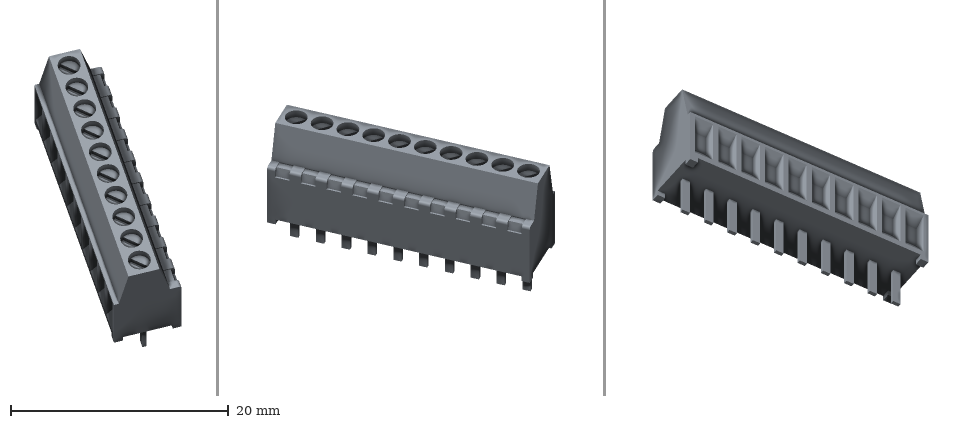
import cadquery as cq

housing_length = 25.85
housing_depth = 6.5
total_height = 13.4

pole_count = 10
pole_span = 22.85
pole_pitch = pole_span / (pole_count - 1)
pole_positions = [-pole_span / 2 + i * pole_pitch for i in range(pole_count)]

foot_bottom_z = 3.41
foot_height = 0.55
foot_length = 0.83
foot_depth = 0.85
floor_z = foot_bottom_z + foot_height
front_shelf_z = 9.41
front_shelf_depth = 0.47
rear_shelf_z = 9.8
rear_shelf_depth = 1.1
rear_edge_radius = 0.3
tower_front_y = 1.4
tower_rear_y = 4.37

opening_width = 2.0
opening_bottom_z = 4.55
opening_top_z = 9.1
throat_width = 1.45
throat_bottom_z = 5.75
throat_top_z = 7.9
opening_depth = 0.8

screw_y = (tower_front_y + tower_rear_y) / 2
screw_diameter = 2.1
screw_well_depth = 0.78
screw_slot_width = 0.5
screw_slot_depth = 0.5
screw_slot_angle = 45

notch_width = 1.42
notch_floor_drop = 0.1
notch_floor_end = 0.41
notch_ledge_depth = 0.18
notch_ledge_drop = 0.98

pin_width = 0.8
pin_thickness = 0.4
pin_y = housing_depth / 2


def extrude_profile(points, length, centre_x):
    """Extrude a (Y, Z) outline along X, centred on centre_x."""
    outline = cq.Workplane("YZ").polyline(points).close()
    return outline.extrude(length / 2, both=True).translate((centre_x, 0, 0))


def make_housing():
    profile = [
        (0, foot_bottom_z),
        (housing_depth, foot_bottom_z),
        (housing_depth, rear_shelf_z),
        (housing_depth - rear_shelf_depth, rear_shelf_z),
        (tower_rear_y, total_height),
        (tower_front_y, total_height),
        (front_shelf_depth, front_shelf_z),
        (0, front_shelf_z),
    ]
    housing = extrude_profile(profile, housing_length, 0)
    rear_edge = cq.selectors.NearestToPointSelector((0, housing_depth, rear_shelf_z))
    return housing.edges(rear_edge).fillet(rear_edge_radius)


def make_foot_clearance():
    """Cross-shaped space under the housing that leaves a foot at each corner."""
    centre = (0, housing_depth / 2, foot_bottom_z + foot_height / 2)
    along_x = cq.Workplane().box(housing_length, housing_depth - 2 * foot_depth, foot_height)
    along_y = cq.Workplane().box(housing_length - 2 * foot_length, housing_depth, foot_height)
    return along_x.union(along_y).translate(centre)


def make_wire_opening(x):
    opening_z = (opening_bottom_z + opening_top_z) / 2
    throat_z = (throat_bottom_z + throat_top_z) / 2
    return (
        cq.Workplane("XZ")
        .center(x, opening_z)
        .rect(opening_width, opening_top_z - opening_bottom_z)
        .workplane(offset=-opening_depth)
        .center(0, throat_z - opening_z)
        .rect(throat_width, throat_top_z - throat_bottom_z)
        .loft(ruled=True)
    )


def make_screw_well(x):
    well_radius = screw_diameter / 2
    full_depth = screw_well_depth + screw_slot_depth
    well = cq.Workplane().circle(well_radius).extrude(-screw_well_depth)
    slot = (
        cq.Workplane()
        .rect(2 * screw_diameter, screw_slot_width)
        .extrude(-full_depth)
        .rotate((0, 0, 0), (0, 0, 1), screw_slot_angle)
        .intersect(cq.Workplane().circle(well_radius).extrude(-full_depth))
    )
    return well.union(slot).translate((x, screw_y, total_height))


def make_rear_notch(x):
    floor = rear_shelf_z - notch_floor_drop
    ledge = rear_shelf_z - notch_ledge_drop
    front_y = housing_depth - rear_shelf_depth
    profile = [
        (front_y, rear_shelf_z),
        (front_y, floor),
        (housing_depth - notch_floor_end, floor),
        (housing_depth - notch_ledge_depth, ledge),
        (housing_depth, ledge),
        (housing_depth, rear_shelf_z),
    ]
    return extrude_profile(profile, notch_width, x)


def make_pin(x):
    return cq.Workplane().box(pin_width, pin_thickness, floor_z).translate((x, pin_y, floor_z / 2))


result = make_housing().cut(make_foot_clearance())
for pole_x in pole_positions:
    result = result.cut(make_wire_opening(pole_x))
    result = result.cut(make_screw_well(pole_x))
    result = result.cut(make_rear_notch(pole_x))
    result = result.union(make_pin(pole_x))